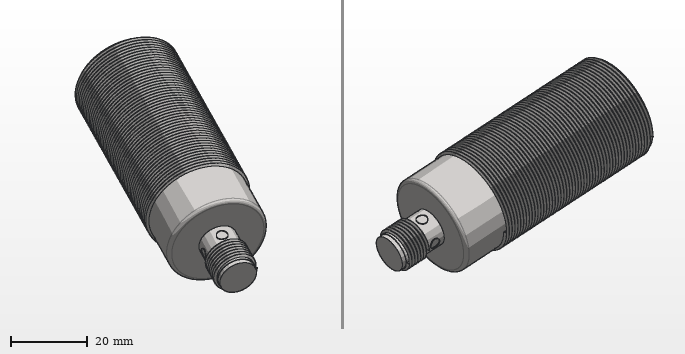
import cadquery as cq

total_length = 79.35
body_end = 64.9
body_radius = 14.0
body_fillet = 1.0

body_thread_start = 0.5
body_thread_travel = 51.0
body_thread_turns = 51
body_thread_sections = 3
body_crest_radius = 14.7

stub_radius = 5.3
tip_radius = 5.15
tip_length = 1.3
stub_thread_start = 70.7
stub_thread_travel = 7.0
stub_thread_turns = 7
stub_crest_radius = 6.0

window_count = 4
window_center = 68.0
window_diameter = 3.1
window_floor_radius = 5.1

ridge_width_share = 0.85
root_overlap = 0.1


def cylinder(start, end, radius):
    """Solid cylinder along X between two positions."""
    return cq.Workplane("YZ", origin=(start, 0, 0)).circle(radius).extrude(end - start)


def thread_ridge(start, travel, turns, core_radius, crest_radius):
    """Triangular helical ridge whose crest starts and ends on the +Y side."""
    pitch = travel / turns
    root_radius = core_radius - root_overlap
    slope = ridge_width_share * pitch / 2 / (crest_radius - core_radius)
    half_width = slope * (crest_radius - root_radius)
    helix = cq.Wire.makeHelix(pitch, travel, root_radius)
    ridge = (
        cq.Workplane("XZ")
        .moveTo(root_radius, -half_width)
        .lineTo(crest_radius, 0)
        .lineTo(root_radius, half_width)
        .close()
        .sweep(cq.Workplane(obj=helix), isFrenet=True)
    )
    return (
        ridge.rotate((0, 0, 0), (0, 0, 1), 90)
        .rotate((0, 0, 0), (0, 1, 0), 90)
        .translate((start, 0, 0))
    )


def make_core():
    """Turned body and stub without threads."""
    body = cylinder(0, body_end, body_radius).faces(">X").edges().fillet(body_fillet)
    stub = cylinder(body_end, total_length - tip_length, stub_radius)
    tip = cylinder(total_length - tip_length, total_length, tip_radius)
    return body.union(stub).union(tip)


def make_window_cutter():
    """Round cutter above the neck, hollowed so that it leaves a curved floor."""
    window_radius = window_diameter / 2
    cutter = cq.Workplane("XY", origin=(window_center, 0, 0)).circle(window_radius).extrude(body_radius)
    floor = cylinder(window_center - window_diameter, window_center + window_diameter, window_floor_radius)
    return cutter.cut(floor)


result = make_core()
window_cutter = make_window_cutter()
for index in range(window_count):
    angle = index * 360 / window_count
    result = result.cut(window_cutter.rotate((0, 0, 0), (1, 0, 0), angle))

section_travel = body_thread_travel / body_thread_sections
section_turns = body_thread_turns // body_thread_sections
body_section = thread_ridge(
    body_thread_start, section_travel, section_turns, body_radius, body_crest_radius
).val()
ridges = [
    thread_ridge(
        stub_thread_start, stub_thread_travel, stub_thread_turns, stub_radius, stub_crest_radius
    ).val()
]
for index in range(body_thread_sections):
    ridges.append(body_section.translate(cq.Vector(index * section_travel, 0, 0)))

threaded = result.val().fuse(*ridges)
result = cq.Workplane(obj=threaded.Solids()[0])